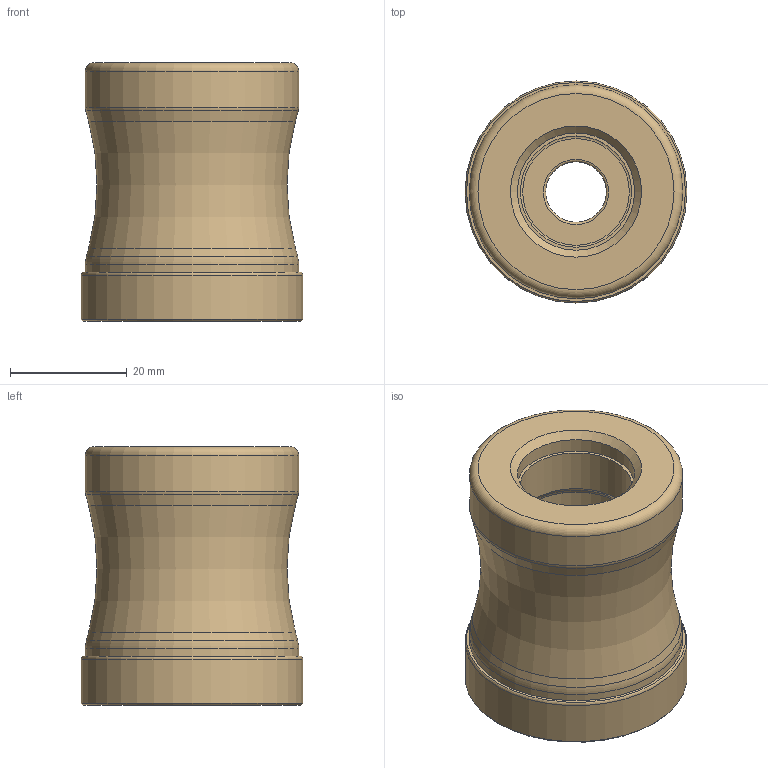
import cadquery as cq
import math

height = 44.45
base_radius = 19.05

collar_height = 8.47
collar_round_height = 0.55
collar_round_width = 0.25
collar_round_radius = 0.7
collar_bottom_chamfer = 0.35

grip_radius = 18.33
top_fillet = 1.5
waist_radius = 16.3
waist_z = 23.5
waist_half_height = 10.9
waist_arc_radius = 41.6
upper_blend_radius = 2.0
lower_blend_radius = 5.3

bore_radius = 10.06
bore_chamfer = 1.2
floor_z = collar_height
floor_fillet = 0.9
hole_radius = 5.2
hole_fillet = 0.4

bushing_bore_radius = 9.55
bushing_top_depth = 3.6
bushing_length = 8.5
bushing_mouth_height = 1.0
bushing_upper_cone_width = 0.25
bushing_lower_cone_width = 0.15

flank_angle = math.asin(waist_half_height / waist_arc_radius)
arc_end_radius = waist_radius + waist_arc_radius * (1 - math.cos(flank_angle))
corner_offset = waist_half_height + (grip_radius - arc_end_radius) / math.tan(flank_angle)


def blend_points(corner_z, blend_radius, away):
    """Ends of the round between flank and cylinder; away is +1 above the waist and -1 below it."""
    reach = blend_radius * math.tan(flank_angle / 2)
    on_flank = (
        grip_radius - reach * math.sin(flank_angle),
        corner_z - away * reach * math.cos(flank_angle),
    )
    on_cylinder = (grip_radius, corner_z + away * reach)
    return on_flank, on_cylinder


def revolve_about_z(profile):
    return profile.close().revolve(360, (0, 0, 0), (0, 1, 0))


def make_housing():
    lower_flank, lower_cylinder = blend_points(waist_z - corner_offset, lower_blend_radius, -1)
    upper_flank, upper_cylinder = blend_points(waist_z + corner_offset, upper_blend_radius, 1)
    profile = (
        cq.Workplane("XZ")
        .moveTo(hole_radius, 0)
        .lineTo(base_radius - collar_bottom_chamfer, 0)
        .lineTo(base_radius, collar_bottom_chamfer)
        .lineTo(base_radius, collar_height - collar_round_height)
        .radiusArc((base_radius - collar_round_width, collar_height), -collar_round_radius)
        .lineTo(grip_radius, collar_height)
        .lineTo(*lower_cylinder)
        .tangentArcPoint(lower_flank, relative=False)
        .lineTo(arc_end_radius, waist_z - waist_half_height)
        .threePointArc((waist_radius, waist_z), (arc_end_radius, waist_z + waist_half_height))
        .lineTo(*upper_flank)
        .tangentArcPoint(upper_cylinder, relative=False)
        .lineTo(grip_radius, height - top_fillet)
        .tangentArcPoint((grip_radius - top_fillet, height), relative=False)
        .lineTo(bore_radius + bore_chamfer, height)
        .lineTo(bore_radius, height - bore_chamfer)
        .lineTo(bore_radius, floor_z + floor_fillet)
        .tangentArcPoint((bore_radius - floor_fillet, floor_z), relative=False)
        .lineTo(hole_radius + hole_fillet, floor_z)
        .tangentArcPoint((hole_radius, floor_z - hole_fillet), relative=False)
    )
    return revolve_about_z(profile)


def make_bushing():
    top_z = height - bushing_top_depth
    bottom_z = top_z - bushing_length
    upper_cone_radius = bushing_bore_radius + bushing_upper_cone_width
    profile = (
        cq.Workplane("XZ")
        .moveTo(bore_radius, top_z)
        .lineTo(bushing_bore_radius, top_z)
        .lineTo(bushing_bore_radius, bottom_z + bushing_mouth_height)
        .lineTo(upper_cone_radius, bottom_z + bushing_mouth_height / 2)
        .lineTo(upper_cone_radius + bushing_lower_cone_width, bottom_z)
        .lineTo(bore_radius, bottom_z)
    )
    return revolve_about_z(profile)


housing = make_housing()
bushing = make_bushing()

result = cq.Compound.makeCompound([housing.val(), bushing.val()])